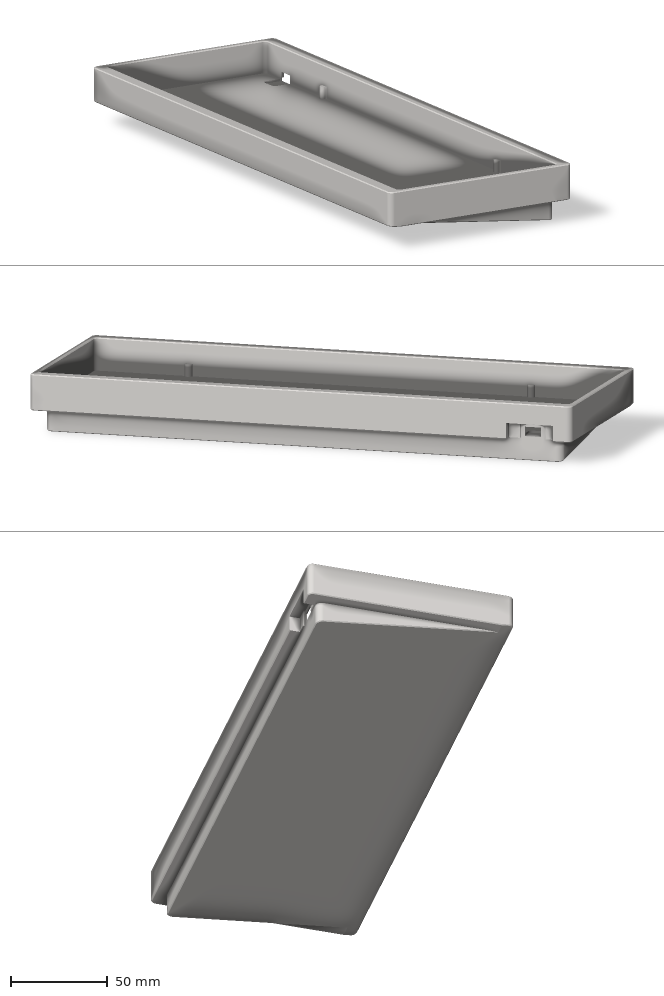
import cadquery as cq
import math

LENGTH = 293.7
DEPTH = 110.7
HEIGHT = 30.8

TRAY_HEIGHT = 19.0
TRAY_CORNER = 3.0
EDGE_CHAMFER = 0.5
SIDE_WALL = 3.2
LONG_WALL = 7.0
CAVITY_DEPTH = 17.3
CAVITY_CORNER = 2.0

WEDGE_SIDE_INSET = 6.8
WEDGE_END_INSET = 6.5
WEDGE_CORNER = 3.5
WEDGE_OVERLAP = 1.0
WEDGE_EDGE_CHAMFER = 0.5

PAD_DIAMETER = 8.0
PAD_DEPTH = 1.0
PAD_SIDE_INSET = 9.0
PAD_FRONT_INSET = 6.0
PAD_BACK_INSET = 13.5

POST_HEIGHT = 6.5
BACK_POST_X = 85.8
BACK_POST_RADIUS = 1.8
BACK_POST_BLEND = 1.0
FRONT_POST_X = 92.8
FRONT_POST_RADIUS = 2.0

PORT_X = -124.2
PORT_POCKET_WIDTH = 11.0
PORT_POCKET_LENGTH = 10.5
PORT_POCKET_DEPTH = 1.2
PORT_POCKET_CORNER = 2.3
PORT_WEB = 0.5
PORT_HOLE_WIDTH = 8.8
PORT_HOLE_HEIGHT = 5.0
PORT_HOLE_DROP = 1.0
RELIEF_WIDTH = 13.8
RELIEF_RISE = 6.8
RELIEF_CORNER = 1.8
RELIEF_THICKNESS = 1.0
NOTCH_MARGIN = 6.0

TRAY_BOTTOM = HEIGHT - TRAY_HEIGHT
FLOOR = HEIGHT - CAVITY_DEPTH
CAVITY_LENGTH = LENGTH - 2 * SIDE_WALL
CAVITY_WIDTH = DEPTH - 2 * LONG_WALL
BACK_WALL_Y = CAVITY_WIDTH / 2
WEDGE_LENGTH = LENGTH - 2 * WEDGE_SIDE_INSET
WEDGE_WIDTH = DEPTH - 2 * WEDGE_END_INSET
SLOPE = TRAY_BOTTOM / WEDGE_WIDTH
WEDGE_TIP = -WEDGE_EDGE_CHAMFER * SLOPE


def block(x_size, y_size, z_low, z_high, x=0.0, y=0.0):
    """Upright box centred on x, y."""
    return (
        cq.Workplane("XY", origin=(x, y, z_low))
        .rect(x_size, y_size)
        .extrude(z_high - z_low)
    )


def slope_height(y):
    """Height of the sloping underside at a given y."""
    return TRAY_BOTTOM / 2 - SLOPE * y


def tray_blank(back_z, front_z):
    """Round-cornered block over the tray's plan, its underside running straight from front to back."""
    profile = [
        (-DEPTH / 2, HEIGHT),
        (-DEPTH / 2, front_z),
        (DEPTH / 2, back_z),
        (DEPTH / 2, HEIGHT),
    ]
    blank = cq.Workplane("YZ").polyline(profile).close().extrude(LENGTH / 2, both=True)
    blank = blank.edges("|Z").fillet(TRAY_CORNER)
    return blank.faces("<Z").edges().chamfer(EDGE_CHAMFER)


def tray():
    """Tray with a level underside that meets the sloping plane of the wedge near the front."""
    level = tray_blank(TRAY_BOTTOM, TRAY_BOTTOM)
    sloping = tray_blank(slope_height(DEPTH / 2), slope_height(-DEPTH / 2))
    cavity = block(CAVITY_LENGTH, CAVITY_WIDTH, FLOOR, HEIGHT).edges("|Z").fillet(CAVITY_CORNER)
    shell = level.intersect(sloping).cut(cavity)
    return shell.faces(">Z").edges().chamfer(EDGE_CHAMFER)


def wedge():
    """Foot that tilts the tray: level with its underside in front, deepest at the back."""
    top = TRAY_BOTTOM + WEDGE_OVERLAP
    profile = [
        (-WEDGE_WIDTH / 2, top),
        (WEDGE_WIDTH / 2, top),
        (WEDGE_WIDTH / 2, WEDGE_TIP),
        (-WEDGE_WIDTH / 2, TRAY_BOTTOM),
    ]
    body = cq.Workplane("YZ").polyline(profile).close().extrude(WEDGE_LENGTH / 2, both=True)
    body = body.edges("|Z and >Y").fillet(WEDGE_CORNER)
    return body.faces("<Z").edges("not <Y").chamfer(WEDGE_EDGE_CHAMFER)


def pad_recesses():
    """Four shallow discs sunk square to the sloping face."""
    slope = math.atan2(TRAY_BOTTOM, WEDGE_WIDTH)
    slope_half_length = math.hypot(TRAY_BOTTOM, WEDGE_WIDTH) / 2
    pad_x = WEDGE_LENGTH / 2 - PAD_SIDE_INSET
    pad_rows = (PAD_FRONT_INSET - slope_half_length, slope_half_length - PAD_BACK_INSET)
    centres = [(x, row) for x in (-pad_x, pad_x) for row in pad_rows]
    face = cq.Plane(
        origin=(0, 0, TRAY_BOTTOM / 2),
        xDir=(1, 0, 0),
        normal=(0, math.sin(slope), math.cos(slope)),
    )
    return (
        cq.Workplane(face)
        .pushPoints(centres)
        .circle(PAD_DIAMETER / 2)
        .extrude(PAD_DEPTH)
    )


def back_post(x):
    """Round-nosed post that flares into the back wall through a concave arc on each side."""
    nose_y = BACK_WALL_Y - BACK_POST_BLEND
    foot = BACK_POST_RADIUS + BACK_POST_BLEND
    bend = BACK_POST_BLEND * math.sqrt(0.5)
    return (
        cq.Workplane("XY", origin=(x, 0, FLOOR))
        .moveTo(-foot, BACK_WALL_Y)
        .threePointArc((bend - foot, nose_y + bend), (-BACK_POST_RADIUS, nose_y))
        .threePointArc((0, nose_y - BACK_POST_RADIUS), (BACK_POST_RADIUS, nose_y))
        .threePointArc((foot - bend, nose_y + bend), (foot, BACK_WALL_Y))
        .lineTo(foot, BACK_WALL_Y + BACK_POST_BLEND)
        .lineTo(-foot, BACK_WALL_Y + BACK_POST_BLEND)
        .close()
        .extrude(POST_HEIGHT)
    )


def front_post(x):
    """Half-round post, its axis on the face of the front wall."""
    return (
        cq.Workplane("XY", origin=(x, -BACK_WALL_Y, FLOOR))
        .circle(FRONT_POST_RADIUS)
        .extrude(POST_HEIGHT)
    )


def port():
    """Cable opening: floor pocket, hole through a thin web, and the stepped relief behind the web."""
    pocket_floor = FLOOR - PORT_POCKET_DEPTH
    pocket = block(
        PORT_POCKET_WIDTH, PORT_POCKET_LENGTH, pocket_floor, FLOOR,
        PORT_X, BACK_WALL_Y - PORT_POCKET_LENGTH / 2,
    ).edges("|Z and <Y").fillet(PORT_POCKET_CORNER)
    hole_bottom = FLOOR - PORT_HOLE_DROP
    hole = block(
        PORT_HOLE_WIDTH, LONG_WALL, hole_bottom, hole_bottom + PORT_HOLE_HEIGHT,
        PORT_X, BACK_WALL_Y + LONG_WALL / 2,
    )
    relief_front = BACK_WALL_Y + PORT_WEB
    relief = block(
        RELIEF_WIDTH, RELIEF_THICKNESS, TRAY_BOTTOM, FLOOR + RELIEF_RISE,
        PORT_X, relief_front + RELIEF_THICKNESS / 2,
    ).edges("|Y and >Z").fillet(RELIEF_CORNER)
    notch_front = relief_front + RELIEF_THICKNESS
    notch_depth = DEPTH / 2 - notch_front
    notch = block(
        RELIEF_WIDTH + 2 * NOTCH_MARGIN, notch_depth, TRAY_BOTTOM, FLOOR + RELIEF_RISE,
        PORT_X, notch_front + notch_depth / 2,
    )
    return pocket.union(hole).union(relief).union(notch)


result = tray().union(wedge()).cut(pad_recesses())
for side in (-1, 1):
    result = result.union(back_post(side * BACK_POST_X)).union(front_post(side * FRONT_POST_X))
result = result.cut(port())